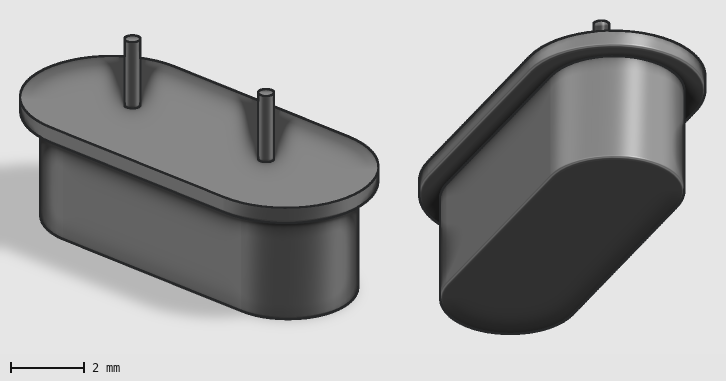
import cadquery as cq

flange_length = 11.35
flange_width = 5.0
flange_thickness = 0.5

can_length = 10.31
can_width = 3.8
can_height = 3.18

rim_radius = 0.1

pin_diameter = 0.43
pin_spacing = 4.88
pin_height = 2.0


def rounded_stadium(length, width, height, base_z):
    """Upright stadium prism, long along X, with its bottom rim rounded."""
    prism = cq.Workplane("XY").workplane(offset=base_z).slot2D(length, width).extrude(height)
    return prism.faces("<Z").edges().fillet(rim_radius)


flange = rounded_stadium(flange_length, flange_width, flange_thickness, 0)
can = rounded_stadium(can_length, can_width, can_height, -can_height)
pins = (
    cq.Workplane("XY")
    .workplane(offset=flange_thickness)
    .pushPoints([(-pin_spacing / 2, 0), (pin_spacing / 2, 0)])
    .circle(pin_diameter / 2)
    .extrude(pin_height)
)

result = flange.union(can).union(pins)